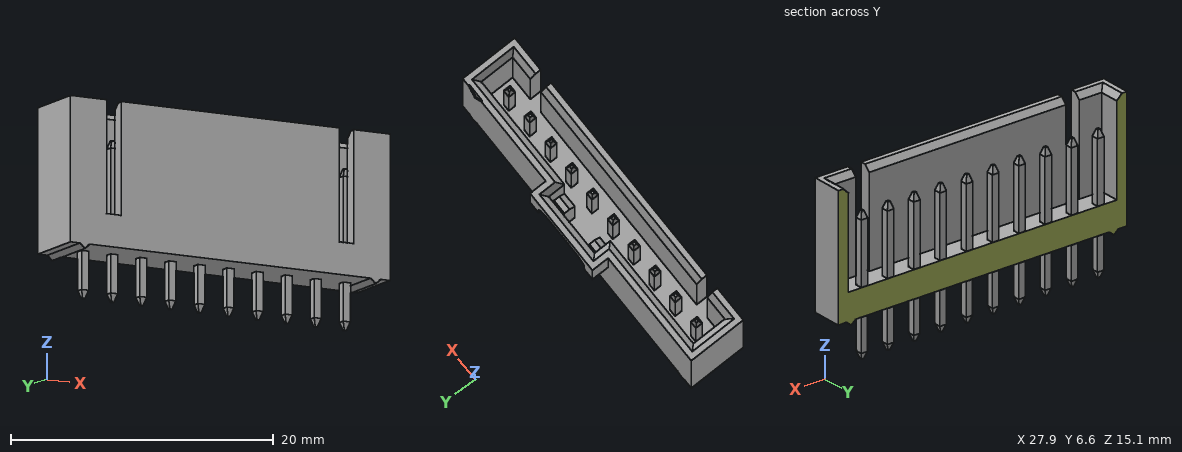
import cadquery as cq

pitch = 2.54
pin_count = 10
pin_width = pitch / 4
pin_point_width = 0.22
pin_point_length = pin_width
pin_drop = 3.68
pin_rise = 2.5 * pitch

length = (pin_count + 1) * pitch
depth = 2 * pitch
height = 11.43
floor_height = pitch
wall = 0.4 * pitch
lead_in = wall / 2
pin_y = depth / 2

key_width = 3 * pitch
key_reach = 0.6 * pitch
key_height = 1.5 * pitch
key_bottom = height - key_height
key_opening = key_width - 2 * wall
key_arch_drop = 0.6 * pitch
key_arch_radius = pitch / 2
rear_slot_width = 1.2 * pitch

front_slot_width = pitch / 2
front_slot_x = 4 * pitch

ridge_x = 5 * pitch
ridge_width = 0.9
ridge_height = 0.38

mark_x = 12.46
mark_width = 1.6
mark_height = 1.7
mark_recess = 0.1


def block(x_size, y_min, y_max, z_min, z_max, x_mid=0):
    """Upright box centred on x_mid between the given Y and Z limits."""
    base = cq.Workplane("XY").box(x_size, y_max - y_min, z_max - z_min, centered=(True, False, False))
    return base.translate((x_mid, y_min, z_min))


def mouth_flare(x_size, y_min, y_max, z_rim):
    """Bevel that opens out a rectangular mouth by lead_in on each side, up to z_rim."""
    bottom = cq.Workplane("XY", origin=(0, (y_min + y_max) / 2, z_rim - lead_in)).rect(x_size, y_max - y_min)
    top_size = (x_size + 2 * lead_in, y_max - y_min + 2 * lead_in)
    return bottom.workplane(offset=lead_in).rect(*top_size).loft(ruled=True)


def make_shell():
    """Housing and key, hollowed out, with the bevelled mouth."""
    inner_length = length - 2 * wall
    key_inner_rear = depth + key_reach - wall
    shell = block(length, 0, depth, 0, height)
    shell = shell.union(block(key_width, depth - wall, depth + key_reach, key_bottom, height))
    shell = shell.cut(block(inner_length, wall, depth - wall, floor_height, height))
    shell = shell.cut(block(key_opening, wall, key_inner_rear, key_bottom, height))
    shell = shell.cut(mouth_flare(inner_length, wall, depth - wall, height))
    shell = shell.cut(mouth_flare(key_opening, wall, key_inner_rear, height))
    rear_bevel = (
        cq.Workplane("YZ", origin=(-key_opening / 2, 0, 0))
        .moveTo(depth - wall, key_bottom - lead_in)
        .lineTo(depth - wall + lead_in, key_bottom)
        .lineTo(depth - wall, key_bottom)
        .close()
        .extrude(key_opening)
    )
    return shell.cut(rear_bevel)


def make_key_arch():
    """Round-cornered opening through the rear wall of the key, open at the bottom."""
    arch = block(key_opening, depth, depth + key_reach, key_bottom, height - key_arch_drop)
    return arch.edges("|Y and >Z").fillet(key_arch_radius)


def make_ridge(x_mid):
    """V-shaped ridge running the full depth of the underside."""
    profile = (
        cq.Workplane("XZ")
        .moveTo(x_mid - ridge_width / 2, 0)
        .lineTo(x_mid, -ridge_height)
        .lineTo(x_mid + ridge_width / 2, 0)
        .close()
    )
    return profile.extrude(-depth)


def make_mark():
    """Triangular recess in the rear face, widest at the rim and pointing down."""
    profile = (
        cq.Workplane("XZ", origin=(mark_x, depth, height))
        .moveTo(-mark_width / 2, 0)
        .lineTo(mark_width / 2, 0)
        .lineTo(0, -mark_height)
        .close()
    )
    return profile.extrude(mark_recess)


def make_pin(x_mid):
    """Square pin with a blunt pyramid point at each end."""
    shank_bottom = pin_point_length - pin_drop
    shank_top = floor_height + pin_rise - pin_point_length
    half = pin_width / 2
    pin = block(pin_width, pin_y - half, pin_y + half, shank_bottom, shank_top, x_mid)
    for z_start, direction in ((shank_bottom, -1), (shank_top, 1)):
        point = (
            cq.Workplane("XY", origin=(x_mid, pin_y, z_start))
            .rect(pin_width, pin_width)
            .workplane(offset=direction * pin_point_length)
            .rect(pin_point_width, pin_point_width)
            .loft(ruled=True)
        )
        pin = pin.union(point)
    return pin


result = make_shell().cut(make_key_arch())
result = result.cut(block(rear_slot_width, depth - wall, depth, floor_height, height))
result = result.cut(make_mark())
for side in (-1, 1):
    result = result.cut(block(front_slot_width, 0, wall, floor_height, height, side * front_slot_x))
    result = result.union(make_ridge(side * ridge_x))
for index in range(pin_count):
    result = result.union(make_pin((index - (pin_count - 1) / 2) * pitch))